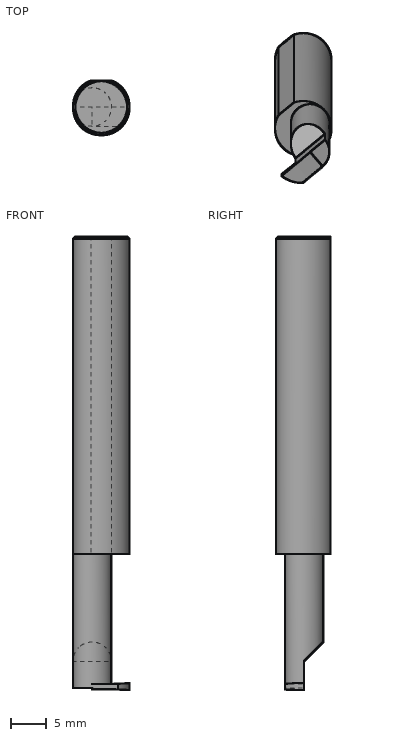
import cadquery as cq

shank_diameter = 7.94
shank_radius = shank_diameter / 2
overall_length = 63.5
neck_length = 19.05
shank_length = overall_length - neck_length
width_across_flat = 7.68
flat_distance = width_across_flat - shank_radius
end_chamfer = 0.35

neck_radius = 2.7
neck_center_x = neck_radius - shank_radius
neck_right_x = neck_center_x + neck_radius
neck_end_z = 0.3
relief_start_z = 4.05

tooth_width = 1.0
tooth_side_clearance = 0.12
tooth_heel_x = 2.35
tooth_arc_mid = (3.45, -1.45)


def make_shank():
    """Round shank with a chamfered top end and a full-length flat."""
    bar = (
        cq.Workplane("XY", origin=(0, 0, neck_length))
        .circle(shank_radius)
        .extrude(shank_length)
        .faces(">Z")
        .chamfer(end_chamfer)
    )
    flat_cutter = cq.Workplane("XY").box(
        shank_diameter, shank_radius, overall_length, centered=(True, False, False)
    ).translate((0, flat_distance, 0))
    return bar.cut(flat_cutter)


def make_neck():
    """Offset neck whose lower end is cut to a half section with a 45 degree run-out."""
    neck = (
        cq.Workplane("XY", origin=(neck_center_x, 0, neck_end_z))
        .circle(neck_radius)
        .extrude(neck_length - neck_end_z)
    )
    cut_depth = 2 * neck_radius
    relief_profile = [
        (0, 0),
        (cut_depth, 0),
        (cut_depth, relief_start_z + cut_depth),
        (0, relief_start_z),
    ]
    relief = (
        cq.Workplane("YZ")
        .polyline(relief_profile)
        .close()
        .extrude(shank_diameter, both=True)
    )
    return neck.cut(relief)


def make_tooth():
    """Plan outline of the tooth intersected with its flared edge profile."""
    plan = (
        cq.Workplane("XY")
        .moveTo(neck_center_x, 0)
        .lineTo(neck_center_x, -neck_radius)
        .lineTo(tooth_heel_x, -neck_radius)
        .threePointArc(tooth_arc_mid, (shank_radius, 0))
        .close()
        .extrude(tooth_width)
    )
    root_bottom = tooth_side_clearance
    root_top = tooth_width - tooth_side_clearance
    flare_profile = [
        (neck_center_x, root_bottom),
        (neck_right_x, root_bottom),
        (shank_radius, 0),
        (shank_radius, tooth_width),
        (neck_right_x, root_top),
        (neck_center_x, root_top),
    ]
    flare = cq.Workplane("XZ").polyline(flare_profile).close().extrude(neck_radius)
    return plan.intersect(flare)


result = make_shank().union(make_neck()).union(make_tooth())